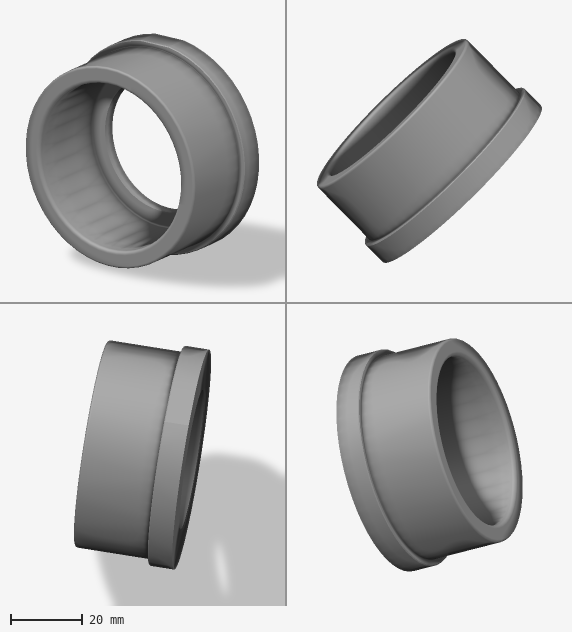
import cadquery as cq

length = 28.5
flange_radius = 31.3
flange_length = 7.0
flange_chamfer = 0.25
flat_height = 30.9

sleeve_radius = 29.5
sleeve_rounding = 0.7
root_fillet = 0.2

hole_radius = 19.85
lip_length = 3.5
socket_floor_radius = 23.9
socket_back_radius = 24.4
socket_front_radius = 24.5
floor_rounding = socket_back_radius - socket_floor_radius
mouth_rounding = 1.05
mouth_radius = socket_front_radius + mouth_rounding

front_y = -length
shoulder_y = -flange_length
socket_floor_y = -lip_length
DIAGONAL = 0.5 ** 0.5


def corner_arc(profile, center, radius, toward, end):
    """Add a quarter arc whose middle lies diagonally from its center."""
    middle = (
        center[0] + toward[0] * radius * DIAGONAL,
        center[1] + toward[1] * radius * DIAGONAL,
    )
    return profile.threePointArc(middle, end)


def make_collar():
    """Revolve the half section (radius, Y) around the Y axis."""
    profile = (
        cq.Workplane("XY")
        .moveTo(hole_radius, 0)
        .lineTo(flange_radius, 0)
        .lineTo(flange_radius, shoulder_y)
        .lineTo(sleeve_radius + root_fillet, shoulder_y)
    )
    profile = corner_arc(
        profile,
        (sleeve_radius + root_fillet, shoulder_y - root_fillet),
        root_fillet,
        (-1, 1),
        (sleeve_radius, shoulder_y - root_fillet),
    )
    profile = profile.lineTo(sleeve_radius, front_y + sleeve_rounding)
    face_edge_radius = sleeve_radius - sleeve_rounding
    profile = corner_arc(
        profile,
        (face_edge_radius, front_y + sleeve_rounding),
        sleeve_rounding,
        (1, -1),
        (face_edge_radius, front_y),
    )
    profile = profile.lineTo(mouth_radius, front_y)
    profile = corner_arc(
        profile,
        (mouth_radius, front_y + mouth_rounding),
        mouth_rounding,
        (-1, -1),
        (socket_front_radius, front_y + mouth_rounding),
    )
    profile = profile.lineTo(socket_back_radius, socket_floor_y - floor_rounding)
    profile = corner_arc(
        profile,
        (socket_floor_radius, socket_floor_y - floor_rounding),
        floor_rounding,
        (1, 1),
        (socket_floor_radius, socket_floor_y),
    )
    profile = profile.lineTo(hole_radius, socket_floor_y).close()
    return profile.revolve(360, (0, 0, 0), (0, 1, 0))


def make_flat_cutter():
    """Block that removes everything above the flange's flat."""
    return cq.Workplane("XY").box(
        2 * flange_radius, 2 * length, flange_radius, centered=(True, True, False)
    ).translate((0, 0, flat_height))


def chamfer_flange(collar):
    """Break the front rim of the flange, along the flat as well as the round."""
    shoulder = collar.faces("|Y").faces("<Y[-2]")
    rim = shoulder.val().outerWire().Edges()
    return collar.newObject(rim).chamfer(flange_chamfer)


result = chamfer_flange(make_collar().cut(make_flat_cutter()))